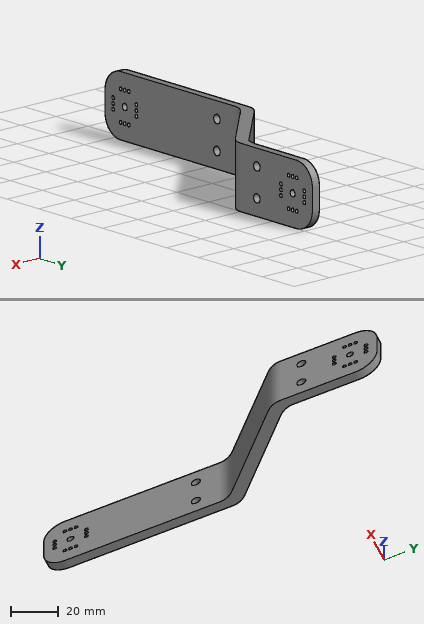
import cadquery as cq
import math

length = 170.0
depth = 40.1
height = 30.0
thickness = 4.0

bend_angle = math.radians(45)
bend_radius = 10.0
corner_radius = 10.0
rear_arm_length = 44.5

mount_hole_diameter = 4.0
mount_hole_spacing = 14.0
rear_mount_inset = 34.8
front_mount_inset = 70.2
center_hole_diameter = 3.0
small_hole_diameter = 1.6
small_hole_pitch = 2.5
pattern_radius = 7.3
pattern_inset = 12.4

rear_end = length / 2
front_end = -length / 2
left_face = -depth / 2
right_face = depth / 2


def bent_strip():
    """Z-shaped strip with every bend edge rounded."""
    arm_offset = depth - thickness
    web_rise = arm_offset / math.tan(bend_angle)
    corner_shift = thickness
    rear_bend = rear_end - rear_arm_length
    front_bend = rear_bend - web_rise
    outline = [
        (left_face, front_end),
        (left_face, front_bend),
        (right_face - thickness, rear_bend),
        (right_face - thickness, rear_end),
        (right_face, rear_end),
        (right_face, rear_bend - corner_shift),
        (left_face + thickness, front_bend - corner_shift),
        (left_face + thickness, front_end),
    ]
    strip = cq.Workplane("XY").polyline(outline).close().extrude(height / 2, both=True)
    bend_edges = strip.edges("|Z").edges(
        cq.selectors.BoxSelector(
            (-depth, front_end + thickness, -height),
            (depth, rear_end - thickness, height),
        )
    )
    return bend_edges.fillet(bend_radius)


def through_holes(points, diameter):
    """Cutters running along X through both arms, at (y, z) points."""
    return (
        cq.Workplane("YZ")
        .pushPoints(points)
        .circle(diameter / 2)
        .extrude(depth, both=True)
    )


def small_hole_points(center_y):
    """Rows of three holes on the four sides of a square around the center hole."""
    points = []
    for side in (-pattern_radius, pattern_radius):
        for step in (-1, 0, 1):
            along = step * small_hole_pitch
            points.append((center_y + side, along))
            points.append((center_y + along, side))
    return points


result = bent_strip().edges("|X").fillet(corner_radius)

mount_points = [
    (y, z)
    for y in (rear_end - rear_mount_inset, front_end + front_mount_inset)
    for z in (-mount_hole_spacing / 2, mount_hole_spacing / 2)
]
result = result.cut(through_holes(mount_points, mount_hole_diameter))

for pattern_y in (rear_end - pattern_inset, front_end + pattern_inset):
    result = result.cut(through_holes([(pattern_y, 0)], center_hole_diameter))
    result = result.cut(through_holes(small_hole_points(pattern_y), small_hole_diameter))